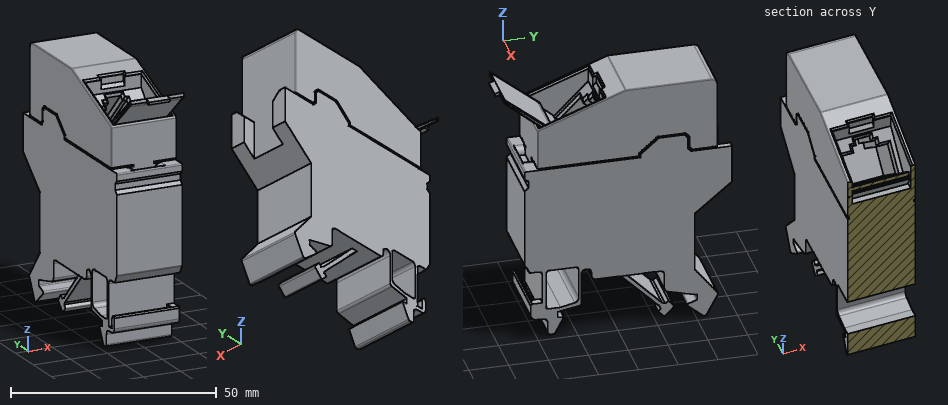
import cadquery as cq
import math


WIDTH = 17.7
HALF_WIDTH = WIDTH / 2
BASE_DEPTH = 52.1
BASE_BOTTOM = -32.45
FOOT_BOTTOM = -46.25
LEG_TOP = -28.35

LID_FRONT = 3.2
LID_REAR = 48.4
LID_TOP = 19.45
SLOPE_REAR = 25.3
SLOPE_FRONT_Z = 11.15
LID_FRONT_EDGE_RADIUS = 0.2
SLOPE_ANGLE = math.degrees(math.atan2(LID_TOP - SLOPE_FRONT_Z, SLOPE_REAR - LID_FRONT))

SEAM_GAP = 0.45
SEAM_DEPTH = 0.4
TONGUE_HALF_WIDTH = 2.8

REAR_SLOT_HALF_WIDTH = 4.7
REAR_SLOT_CHAMFER = 2.35
REAR_SLOT_DEPTH = 15.0

FRONT_NOTCH_HALF_WIDTH = 4.6
FRONT_NOTCH_Y = 0.75
FRONT_NOTCH_DEPTH = 2.0
FRONT_NOTCH_ROUND = 1.8

OPENING_HALF_WIDTH = 7.6
OPENING_FRONT = 4.1
OPENING_REAR = 20.2
OPENING_FLOOR = 4.8
RIM_CHAMFER = 0.45
LATCH_HALF_WIDTH = 3.2
LATCH_REAR = 21.1
LATCH_WALL_BOTTOM = 15.6
LATCH_RAMP_BOTTOM = 14.7

JACK_TOP_Y = OPENING_REAR
JACK_TOP_Z = 13.6
JACK_TILT = 45.0
JACK_DEPTH = 12.0
JACK_LEAD_IN = 0.65
JACK_STEPS = ((5.85, 4.0, 11.5), (3.0, 2.4, 5.0), (1.9, 1.0, 5.0))

FLAP_CENTER_X = -0.2
FLAP_WIDTH = 14.75
FLAP_TAB_WIDTH = 5.7
HINGE_WIDTH = 14.95
FLAP_EDGE_CHAMFER = 0.2

CLIP_WIDTH = 12.1
END_STOP_WIDTH = 2.0

LEG_FRONT = 4.5
LIP_FRONT = 1.5
LIP_TOP = -37.1
TROUGH_FLOOR = -40.5
FRONT_FOOT_SHOULDER = -41.65
TAB_TOP = 4.8


def profile_wire(points):
    """Closed YZ wire whose corners with a third value are rounded by that radius."""
    path = []
    count = len(points)
    for i, point in enumerate(points):
        corner = cq.Vector(point[0], point[1])
        if len(point) == 2:
            path.append((corner,))
            continue
        before = cq.Vector(*points[i - 1][:2]) - corner
        after = cq.Vector(*points[(i + 1) % count][:2]) - corner
        half_angle = before.getAngle(after) / 2
        setback = point[2] / math.tan(half_angle)
        bisector = (before.normalized() + after.normalized()).normalized()
        to_arc = point[2] / math.sin(half_angle) - point[2]
        path.append((
            corner + before.normalized() * setback,
            corner + bisector * to_arc,
            corner + after.normalized() * setback,
        ))
    sketch = cq.Workplane("YZ").moveTo(path[0][-1].x, path[0][-1].y)
    for node in path[1:] + path[:1]:
        sketch = sketch.lineTo(node[0].x, node[0].y)
        if len(node) == 3:
            sketch = sketch.threePointArc((node[1].x, node[1].y), (node[2].x, node[2].y))
    return sketch.close()


def slab(points, x_min, x_max):
    """Extrude a YZ profile between two X positions."""
    return profile_wire(points).extrude(x_max - x_min).translate((x_min, 0, 0))


def centered_slab(points, width, center=0.0):
    return slab(points, center - width / 2, center + width / 2)


def block(x_min, x_max, y_min, y_max, z_min, z_max):
    size = (x_max - x_min, y_max - y_min, z_max - z_min)
    return cq.Workplane("XY").box(*size, centered=False).translate((x_min, y_min, z_min))


def tilted_plane(y, z, angle):
    """Plane facing up and to the front, tilted from horizontal by the angle in degrees."""
    tilt = math.radians(angle)
    return cq.Plane(
        origin=(0, y, z), xDir=(1, 0, 0), normal=(0, -math.sin(tilt), math.cos(tilt))
    )


def make_base():
    outline = [
        (0, 0, 0.3), (0, -1.95), (1.0, -2.9), (1.0, -4.5), (0, -5.4),
        (0, -26.1, 0.5), (1.3, LEG_TOP), (LEG_FRONT, LEG_TOP, 1.1),
        (LEG_FRONT, TROUGH_FLOOR), (2.85, TROUGH_FLOOR), (2.85, -37.9), (2.2, LIP_TOP), (1.9, LIP_TOP),
        (LIP_FRONT, -37.5), (LIP_FRONT, FRONT_FOOT_SHOULDER, 1.5),
        (5.8, FRONT_FOOT_SHOULDER, 1.2), (5.8, FOOT_BOTTOM, 0.8), (7.6, FOOT_BOTTOM, 0.6), (9.9, -41.9),
        (8.35, -41.6), (8.35, -40.2), (14.3, -39.2, 0.7),
        (14.3, -29.3, 1.2), (16.8, -29.3, 1.2), (16.8, BASE_BOTTOM, 1.2),
        (35.1, BASE_BOTTOM, 1.1), (35.1, -38.25, 1.2), (43.3, -40.3), (43.3, -41.7, 0.3),
        (40.4, -42.7, 0.4), (44.9, -46.5, 0.8), (45.6, -46.4, 0.3), (48.7, -40.7, 0.6),
        (42.75, -33.2), (42.75, -17.6), (BASE_DEPTH, -9.95), (BASE_DEPTH, 0),
    ]
    window = [
        (5.4, LEG_TOP, 0.9), (13.6, LEG_TOP, 0.9), (13.6, -38.0, 1.3), (9.0, -39.0), (5.4, -39.0, 0.6),
    ]
    base = centered_slab(outline, WIDTH).cut(centered_slab(window, WIDTH))
    end_stop = block(
        HALF_WIDTH - END_STOP_WIDTH, HALF_WIDTH, 1.9, LEG_FRONT, TROUGH_FLOOR, LIP_TOP
    )
    return base.union(end_stop)


def make_lid():
    outline = [
        (LID_FRONT, 0), (LID_FRONT, SLOPE_FRONT_Z, 0.5), (SLOPE_REAR, LID_TOP, 0.6),
        (LID_REAR, LID_TOP, 1.5), (LID_REAR, 0),
    ]
    lid = centered_slab(outline, WIDTH)
    return lid.edges("|Z and <Y").fillet(LID_FRONT_EDGE_RADIUS)


def cut_rear_slot(part):
    inner = REAR_SLOT_HALF_WIDTH
    outer = inner + REAR_SLOT_CHAMFER
    half = [(outer, 0), (inner, -REAR_SLOT_CHAMFER), (inner, -REAR_SLOT_DEPTH)]
    mirrored = [(-x, z) for x, z in reversed(half)]
    slot = cq.Workplane("XZ", origin=(0, BASE_DEPTH, 0)).polyline(half + mirrored).close()
    return part.cut(slot.extrude(BASE_DEPTH - LID_REAR))


def cut_front_notch(part):
    """Notch in the front wall of the base, its side walls rolling over into the top face."""
    edge = FRONT_NOTCH_HALF_WIDTH
    floor = edge - FRONT_NOTCH_ROUND
    mid_x = edge - FRONT_NOTCH_ROUND * math.sqrt(0.5)
    mid_z = -FRONT_NOTCH_ROUND * (1 - math.sqrt(0.5))
    notch = (
        cq.Workplane("XZ", origin=(0, LID_FRONT, 0))
        .moveTo(-edge, 0)
        .threePointArc((-mid_x, mid_z), (-floor, -FRONT_NOTCH_ROUND))
        .lineTo(-floor, -FRONT_NOTCH_DEPTH)
        .lineTo(floor, -FRONT_NOTCH_DEPTH)
        .lineTo(floor, -FRONT_NOTCH_ROUND)
        .threePointArc((mid_x, mid_z), (edge, 0))
        .close()
        .extrude(LID_FRONT - FRONT_NOTCH_Y)
    )
    return part.cut(notch)


def cut_seam(part):
    """Shadow groove between lid and base, stepping over the base's raised side tab."""
    gap = SEAM_GAP
    upper_top = TAB_TOP + gap
    tab_front = 29.2
    tab_rear = 41.0
    lower_edge = [
        (LID_FRONT, 0), (tab_front, 0), (tab_front, 1.0), (33.65, TAB_TOP), (40.15, TAB_TOP),
        (tab_rear, 3.85), (tab_rear, 0.9), (41.8, 0), (LID_REAR, 0),
    ]
    upper_edge = [
        (LID_FRONT, gap), (tab_front - gap, gap), (tab_front - gap, 1.2), (33.5, upper_top),
        (40.3, upper_top), (tab_rear + gap, 4.0), (tab_rear + gap, 1.1), (42.0, gap), (LID_REAR, gap),
    ]
    groove = lower_edge + upper_edge[::-1]
    inner = HALF_WIDTH - SEAM_DEPTH
    for side in (-1, 1):
        x_min, x_max = sorted((side * inner, side * HALF_WIDTH))
        part = part.cut(slab(groove, x_min, x_max))
        x_min, x_max = sorted((side * TONGUE_HALF_WIDTH, side * HALF_WIDTH))
        part = part.cut(block(x_min, x_max, LID_FRONT, LID_FRONT + SEAM_DEPTH, 0, gap))
    return part


def cut_jack_opening(part):
    """Opening in the lid slope with a latch recess at its rear and a chamfered rim."""
    above = LID_TOP
    jack_bottom_y = JACK_TOP_Y - (JACK_TOP_Z - OPENING_FLOOR) / math.tan(math.radians(JACK_TILT))
    pocket = [
        (OPENING_FRONT, OPENING_FLOOR), (jack_bottom_y, OPENING_FLOOR), (JACK_TOP_Y, JACK_TOP_Z),
        (OPENING_REAR, above), (OPENING_FRONT, above),
    ]
    latch = [
        (OPENING_FRONT, above), (OPENING_REAR, LATCH_RAMP_BOTTOM), (LATCH_REAR, LATCH_WALL_BOTTOM),
        (LATCH_REAR, above),
    ]
    part = part.cut(centered_slab(pocket, 2 * OPENING_HALF_WIDTH))
    part = part.cut(centered_slab(latch, 2 * LATCH_HALF_WIDTH))

    slope_face = tilted_plane(LID_FRONT, SLOPE_FRONT_Z, SLOPE_ANGLE)
    slope_cos = math.cos(math.radians(SLOPE_ANGLE))
    for half_width, rear in ((OPENING_HALF_WIDTH, OPENING_REAR), (LATCH_HALF_WIDTH, LATCH_REAR)):
        front_edge = (OPENING_FRONT - LID_FRONT) / slope_cos - RIM_CHAMFER
        rear_edge = (rear - LID_FRONT) / slope_cos + RIM_CHAMFER
        rim = (
            cq.Workplane(slope_face)
            .center(0, (front_edge + rear_edge) / 2)
            .rect(2 * (half_width + RIM_CHAMFER), rear_edge - front_edge)
            .extrude(-RIM_CHAMFER, taper=45)
        )
        part = part.cut(rim)
    return part


def cut_jack_socket(part):
    """Stepped socket sunk square to the tilted jack face."""
    face = tilted_plane(JACK_TOP_Y, JACK_TOP_Z, JACK_TILT)
    for half_width, top, bottom in JACK_STEPS:
        mouth = cq.Workplane(face).center(0, -(top + bottom) / 2)
        width = 2 * half_width
        height = bottom - top
        socket = mouth.rect(width, height).extrude(-JACK_DEPTH)
        lead_in = mouth.rect(width + 2 * JACK_LEAD_IN, height + 2 * JACK_LEAD_IN)
        part = part.cut(socket).cut(lead_in.extrude(-JACK_LEAD_IN, taper=45))
    return part


def make_flap():
    """Open dust flap with a finger tab, standing on a hinge block below the jack."""
    plate = [(8.0, 9.4), (7.2, 8.6), (-3.8, 18.1), (-4.65, 18.9), (-4.5, 19.78), (7.2, 10.1)]
    tab = [(-4.2, 19.35), (-4.5, 19.78), (-5.91, 19.25), (-5.7, 18.5), (-4.4, 18.75)]
    hinge = [(12.0, 4.5), (11.1, 5.6), (7.0, 9.0), (6.5, 8.4), (8.5, 4.5)]
    flap = centered_slab(plate, FLAP_WIDTH, FLAP_CENTER_X)
    flap = flap.faces("<X or >X").chamfer(FLAP_EDGE_CHAMFER)
    flap = flap.union(centered_slab(tab, FLAP_TAB_WIDTH, FLAP_CENTER_X))
    return flap.union(centered_slab(hinge, HINGE_WIDTH))


def make_rail_clip():
    clip = [
        (24.9, -32.4), (23.15, -32.4), (34.6, -43.85), (34.9, -44.5), (34.2, -45.3, 0.2),
        (35.85, -46.95, 0.5), (38.4, -44.35, 0.4), (36.9, -42.6), (36.0, -43.25), (35.2, -42.9),
    ]
    return centered_slab(clip, CLIP_WIDTH)


housing = make_base().union(make_lid())
for cut_feature in (cut_rear_slot, cut_front_notch, cut_seam, cut_jack_opening, cut_jack_socket):
    housing = cut_feature(housing)
result = housing.union(make_flap()).union(make_rail_clip())